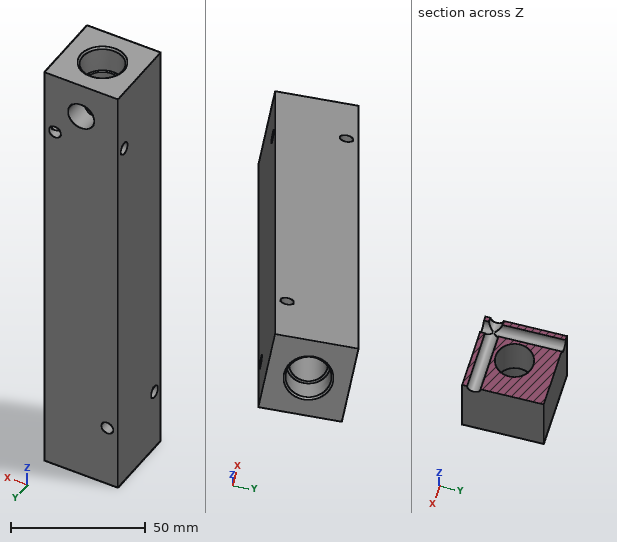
import cadquery as cq

bar_length = 187.3
bar_width = 31.7

bore_diameter = 14.5
socket_diameter = 17.0
socket_end_diameter = 16.5
socket_depth = 10.7
mouth_diameter = 18.5
mouth_chamfer = (mouth_diameter - socket_diameter) / 2

port_diameter = 11.2
port_depth_from_end = 14.8

cross_hole_diameter = 5.0
cross_hole_offset = 11.2
cross_hole_height = 66.7


def make_bar():
    return cq.Workplane("XY").box(bar_width, bar_width, bar_length)


def make_bore():
    """Stepped bore, as a solid of revolution about Z."""
    half_length = bar_length / 2
    bore_radius = bore_diameter / 2
    step_height = half_length - socket_depth
    upper_half = (
        cq.Workplane("XZ")
        .moveTo(0, 0)
        .lineTo(bore_radius, 0)
        .lineTo(bore_radius, step_height)
        .lineTo(socket_end_diameter / 2, step_height)
        .lineTo(socket_diameter / 2, half_length - mouth_chamfer)
        .lineTo(mouth_diameter / 2, half_length)
        .lineTo(0, half_length)
        .close()
        .revolve(360, (0, 0, 0), (0, 1, 0))
    )
    return upper_half.union(upper_half.mirror("XY"))


def make_port():
    """Round port along Y, from the bore's axis out through the +Y face."""
    port_height = bar_length / 2 - port_depth_from_end
    return cq.Workplane("XZ").center(0, port_height).circle(port_diameter / 2).extrude(-bar_width)


def make_cross_holes(plane):
    """Two through holes at diagonally opposite places, square to the given plane."""
    upper_place = (cross_hole_offset, cross_hole_height)
    lower_place = (-cross_hole_offset, -cross_hole_height)
    return (
        cq.Workplane(plane)
        .pushPoints([upper_place, lower_place])
        .circle(cross_hole_diameter / 2)
        .extrude(bar_width, both=True)
    )


result = make_bar().cut(make_bore()).cut(make_port())
for hole_plane in ("XZ", "YZ"):
    result = result.cut(make_cross_holes(hole_plane))